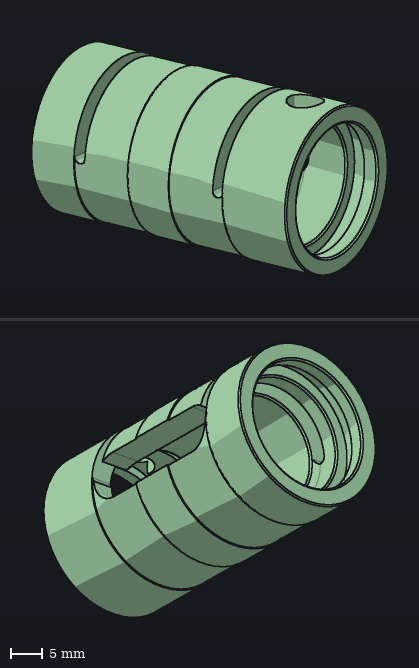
import cadquery as cq

length = 50.0
outer_radius = 14.0
end_x = length / 2
rim_chamfer = 0.25

cut_margin = 1.0

middle_x = -2.0
band_half_length = 4.0
neck_half_length = 14.5
neck_radius = 13.8

slot_width = 2.0

inner_half_length = neck_half_length - slot_width
inner_radius = 9.0
seat_radius = 10.2
bore_chamfer = 0.3
seat_fillet = seat_radius - inner_radius - bore_chamfer

mouth_radius = 11.0
mouth_lip_length = 2.55
mouth_depth = 5.5
groove_radius = 12.4

window_half_length = 14.1
window_half_width = 4.0

hole_radius = 3.0
hole_x = (middle_x + neck_half_length + end_x) / 2


def cylinder_x(radius, x_start, x_end):
    """Solid cylinder about the X axis."""
    return cq.Workplane("YZ").workplane(offset=x_start).circle(radius).extrude(x_end - x_start)


def make_body():
    """Outer sleeve with two end collars, a neck and a central band."""
    neck_start = middle_x - neck_half_length
    neck_end = middle_x + neck_half_length
    body = cylinder_x(outer_radius, -end_x, end_x).edges().chamfer(rim_chamfer)
    neck_cut = cylinder_x(outer_radius + cut_margin, neck_start, neck_end).cut(
        cylinder_x(neck_radius, neck_start, neck_end)
    )
    band = cylinder_x(outer_radius, middle_x - band_half_length, middle_x + band_half_length)
    return body.cut(neck_cut).union(band)


def make_half_bore(inner_length, end_distance):
    """Bore from the middle of the neck out to one end, along +X from the origin."""
    lip_radius = inner_radius + bore_chamfer
    groove_start = end_distance - mouth_depth
    groove_end = end_distance - mouth_lip_length
    profile = (
        cq.Workplane("XY")
        .lineTo(0, inner_radius)
        .lineTo(inner_length - bore_chamfer, inner_radius)
        .lineTo(inner_length, lip_radius)
        .radiusArc((inner_length + seat_fillet, seat_radius), seat_fillet)
        .lineTo(groove_start - bore_chamfer, seat_radius)
        .lineTo(groove_start, seat_radius + bore_chamfer)
        .lineTo(groove_start, groove_radius)
        .lineTo(groove_end, groove_radius)
        .lineTo(groove_end, mouth_radius)
        .lineTo(end_distance - bore_chamfer, mouth_radius)
        .lineTo(end_distance, mouth_radius + bore_chamfer)
        .lineTo(end_distance, 0)
        .close()
    )
    return profile.revolve(360, (0, 0, 0), (1, 0, 0))


def make_bore():
    """Complete stepped bore, its two halves facing away from the middle of the neck."""
    right = make_half_bore(inner_half_length, end_x - middle_x)
    left = make_half_bore(inner_half_length, end_x + middle_x).mirror("YZ")
    return right.union(left).translate((middle_x, 0, 0))


def make_slot(side):
    """Round-bottomed cutter that removes the wall above Z = 0 on one side of the neck."""
    bottom_radius = slot_width / 2
    slot_x = middle_x + side * (neck_half_length - bottom_radius)
    height = outer_radius + cut_margin
    return (
        cq.Workplane("XZ")
        .moveTo(slot_x - bottom_radius, height)
        .lineTo(slot_x - bottom_radius, bottom_radius)
        .threePointArc((slot_x, 0), (slot_x + bottom_radius, bottom_radius))
        .lineTo(slot_x + bottom_radius, height)
        .close()
        .extrude(height, both=True)
    )


def make_window():
    """Round-ended cutter through the +Y wall."""
    return (
        cq.Workplane("XZ")
        .center(middle_x, 0)
        .slot2D(2 * window_half_length, 2 * window_half_width)
        .extrude(-outer_radius - cut_margin)
    )


def make_hole():
    """Cutter for the radial hole in the top wall."""
    return cq.Workplane("XY").center(hole_x, 0).circle(hole_radius).extrude(outer_radius + cut_margin)


def make_part():
    """Sleeve shell with its bore, slots, window and hole."""
    cutters = make_slot(-1).union(make_slot(1)).union(make_window()).union(make_hole())
    return make_body().cut(make_bore()).cut(cutters)


result = make_part()